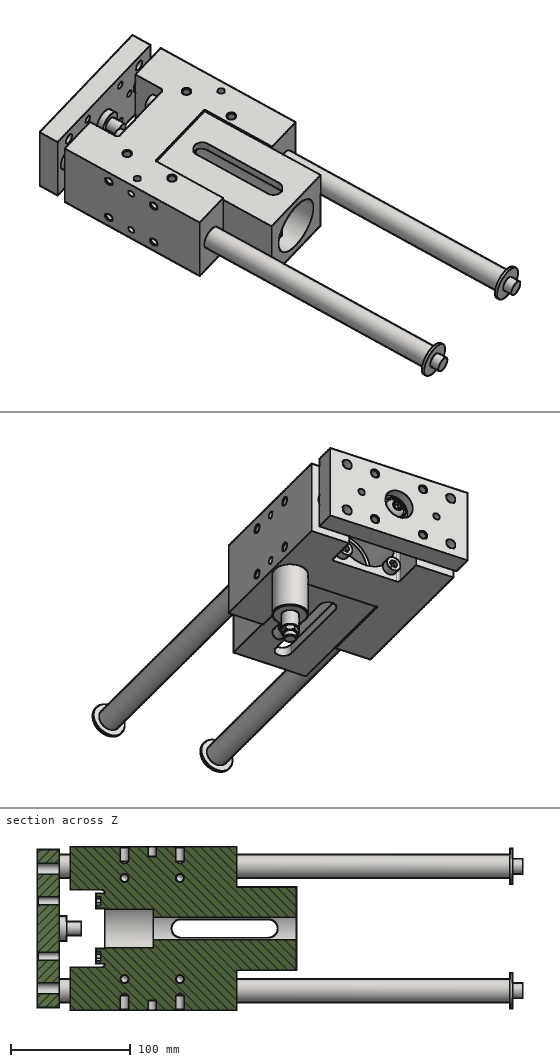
import cadquery as cq
import math

total_height = 134
unit_height = 68.5
half_height = unit_height / 2
rod_offset = 52.0
rod_diameter = 20.0
screw_offset = 23.0
tapped_diameter = 6.5
tapped_chamfer = 1.0
tapped_depth = 12.0
dowel_diameter = 6.0
drill_point_angle = math.radians(118)

plate_thickness = 18.5
plate_width = 132.5
plate_hole_diameter = 9.0
plate_hole_offset = 50.0
plate_dowel_offset = 36.0

counterbore_diameter = 26.5
counterbore_depth = 9.0
stud_flange_diameter = 21.0
stud_flange_thickness = 1.5
dome_diameter = 17.5
dome_height = 5.0
dome_flat_diameter = 9.0
dome_sphere_radius = 9.5
stud_socket_width = 6.0
stud_socket_depth = 3.2
stud_collar_end = 24.8
stud_diameter = 11.8
stud_end = 37.0

slide_end = 406
stop_disc_diameter = 30.0
stop_disc_start = 395.0
stop_disc_end = 397.5
rod_end_diameter = 13.0

housing_start = 27.5
housing_length = 139.3
housing_end = housing_start + housing_length
housing_width = 137.0
notch_end = 56.5
notch_width = 64.5
notch_corner_radius = 2.5
notch_bore_diameter = 56.0

cap_screw_diameter = 13.0
cap_screw_height = 7.5
cap_socket_width = 6.0
cap_socket_depth = 4.0

block_start = 97.0
block_end = 217.0
block_width = 70.0
block_top = 32.0
block_bottom = -33.0
slot_width = 15.0
slot_start = 112.5
slot_end = 201.0
block_bore_diameter = 49.5

hole_middle = 96.2
hole_pitch = 46.3
dowel_depth = 8.0
top_tapped_offset = 42.2
top_dowel_offset = 59.5

clamp_x = 92.0
clamp_diameter = 30.0
clamp_bottom = -75.5
clamp_chamfer = 1.0
neck_diameter = 15.0
neck_bottom = -89.5
nut_width = 13.0
nut_bottom = -94.5
nut_chamfer = 1.2
port_diameter = 11.0
port_bottom = half_height - total_height
port_chamfer = 1.0

fitting_z = -82.5
fitting_neck_diameter = 8.5
fitting_start = 102.0
fitting_diameter = 11.0
fitting_end = 113.3
fitting_chamfer = 1.0


def x_rod(diameter, start, end, y=0.0, z=0.0):
    """Cylinder along +X."""
    return cq.Workplane("YZ", origin=(start, y, z)).circle(diameter / 2).extrude(end - start)


def z_rod(diameter, bottom, top):
    """Cylinder of the clamp, along +Z on the clamp axis."""
    return cq.Workplane("XY", origin=(clamp_x, rod_offset, bottom)).circle(diameter / 2).extrude(top - bottom)


def x_hexagon(width, start, end, y=0.0, z=0.0):
    """Hexagonal prism along +X, sized across its flats."""
    across_corners = width / math.cos(math.pi / 6)
    return cq.Workplane("YZ", origin=(start, y, z)).polygon(6, across_corners).extrude(end - start)


def box(start, end, width, bottom, top):
    """Box along X, centred on Y = 0."""
    block = cq.Workplane("XY").box(end - start, width, top - bottom, centered=(False, True, False))
    return block.translate((start, 0, bottom))


def both_signs(first, second):
    """The four points at plus and minus the two offsets."""
    return [(a * first, b * second) for a in (-1, 1) for b in (-1, 1)]


def tapped_hole(point, direction, depth=tapped_depth):
    """Cutter for a tapped hole with a chamfered mouth and a drill point."""
    mouth_centre = cq.Vector(*point)
    inward = cq.Vector(*direction)
    radius = tapped_diameter / 2
    tip_length = radius / math.tan(drill_point_angle / 2)
    hole = cq.Solid.makeCylinder(radius, depth, mouth_centre, inward)
    mouth = cq.Solid.makeCone(radius + tapped_chamfer, radius, tapped_chamfer, mouth_centre, inward)
    drill_point = cq.Solid.makeCone(radius, 0, tip_length, mouth_centre + inward * depth, inward)
    return cq.Workplane(hole).union(cq.Workplane(mouth)).union(cq.Workplane(drill_point))


def dowel_hole(point, direction):
    """Cutter for a blind dowel hole with a flat bottom."""
    hole = cq.Solid.makeCylinder(dowel_diameter / 2, dowel_depth, cq.Vector(*point), cq.Vector(*direction))
    return cq.Workplane(hole)


def add_stud(slide):
    """Flanged, domed stud with a hexagon socket, through the middle of the plate."""
    dome_base = counterbore_depth - stud_flange_thickness
    dome_front = dome_base - dome_height
    dome = (
        cq.Workplane("XY")
        .moveTo(dome_base, 0)
        .lineTo(dome_base, dome_diameter / 2)
        .radiusArc((dome_front, dome_flat_diameter / 2), -dome_sphere_radius)
        .lineTo(dome_front, 0)
        .close()
        .revolve(360, (0, 0, 0), (1, 0, 0))
    )
    slide = slide.union(x_rod(stud_flange_diameter, dome_base, counterbore_depth)).union(dome)
    slide = slide.cut(x_hexagon(stud_socket_width, dome_front, dome_front + stud_socket_depth))
    slide = slide.union(x_rod(stud_flange_diameter, plate_thickness, stud_collar_end))
    return slide.union(x_rod(stud_diameter, stud_collar_end, stud_end))


def make_slide():
    """End plate with the two guide rods and the centre stud."""
    slide = box(0, plate_thickness, plate_width, -half_height, half_height)
    slide = slide.cut(x_rod(counterbore_diameter, 0, counterbore_depth))
    for y, z in both_signs(plate_hole_offset, screw_offset):
        slide = slide.cut(x_rod(plate_hole_diameter, 0, plate_thickness, y, z))
    for y, z in both_signs(screw_offset, screw_offset):
        slide = slide.cut(tapped_hole((0, y, z), (1, 0, 0), plate_thickness))
    for y in (-plate_dowel_offset, plate_dowel_offset):
        slide = slide.cut(x_rod(dowel_diameter, 0, plate_thickness, y))
    slide = add_stud(slide)
    for y in (-rod_offset, rod_offset):
        slide = slide.union(x_rod(rod_diameter, plate_thickness, stop_disc_start, y))
        slide = slide.union(x_rod(stop_disc_diameter, stop_disc_start, stop_disc_end, y))
        slide = slide.union(x_rod(rod_end_diameter, stop_disc_end, slide_end, y))
    return slide


def make_fitting():
    """Side fitting on the clamp neck, pointing along +X."""
    neck = x_rod(fitting_neck_diameter, clamp_x, fitting_start, rod_offset, fitting_z)
    head = x_rod(fitting_diameter, fitting_start, fitting_end, rod_offset, fitting_z)
    return neck.union(head.faces("<X or >X").chamfer(fitting_chamfer))


def make_nut():
    """Hexagon nut with both ends turned down at the corners."""
    across_corners = nut_width / math.cos(math.pi / 6)
    hexagon = (
        cq.Workplane("XY", origin=(clamp_x, rod_offset, nut_bottom))
        .polygon(6, across_corners)
        .extrude(neck_bottom - nut_bottom)
    )
    turned = z_rod(across_corners, nut_bottom, neck_bottom).faces("<Z or >Z").chamfer(nut_chamfer)
    return hexagon.intersect(turned)


def make_clamp():
    """Clamping cylinder that hangs below the housing under the +Y rod."""
    body = z_rod(clamp_diameter, clamp_bottom, -half_height).faces("<Z").chamfer(clamp_chamfer)
    neck = z_rod(neck_diameter, neck_bottom, clamp_bottom)
    port = z_rod(port_diameter, port_bottom, nut_bottom).faces("<Z").chamfer(port_chamfer)
    return body.union(neck).union(make_nut()).union(port).union(make_fitting())


def make_block():
    """Slotted cylinder block that fills the rear notch and sticks out of it."""
    block = box(block_start, block_end, block_width, block_bottom, block_top)
    slot = (
        cq.Workplane("XY", origin=((slot_start + slot_end) / 2, 0, block_bottom))
        .slot2D(slot_end - slot_start, slot_width)
        .extrude(block_top - block_bottom)
    )
    return block.cut(slot).cut(x_rod(block_bore_diameter, block_start, block_end))


def add_cap_screws(housing):
    """Four cap screw heads on the back wall of the front notch."""
    head_front = notch_end - cap_screw_height
    for y, z in both_signs(screw_offset, screw_offset):
        housing = housing.union(x_rod(cap_screw_diameter, head_front, notch_end, y, z))
        housing = housing.cut(x_hexagon(cap_socket_width, head_front, head_front + cap_socket_depth, y, z))
    return housing


def cut_mounting_holes(housing):
    """Tapped and dowel holes in both sides and the top."""
    half_pitch = hole_pitch / 2
    for side in (-1, 1):
        face_y = side * housing_width / 2
        inward = (0, -side, 0)
        for dx, z in both_signs(half_pitch, screw_offset):
            housing = housing.cut(tapped_hole((hole_middle + dx, face_y, z), inward))
        for z in (-screw_offset, screw_offset):
            housing = housing.cut(dowel_hole((hole_middle, face_y, z), inward))
    down = (0, 0, -1)
    for dx, y in both_signs(half_pitch, top_tapped_offset):
        housing = housing.cut(tapped_hole((hole_middle + dx, y, half_height), down))
    for y in (-top_dowel_offset, top_dowel_offset):
        housing = housing.cut(dowel_hole((hole_middle, y, half_height), down))
    return housing


def make_housing():
    """Notched housing with its cylinder block, screws, holes, rod bores and clamp."""
    housing = box(housing_start, housing_end, housing_width, -half_height, half_height)
    front_notch = box(housing_start, notch_end, notch_width, -half_height, half_height)
    housing = housing.cut(front_notch.edges("|Z and >X").fillet(notch_corner_radius))
    housing = housing.cut(x_rod(notch_bore_diameter, notch_end, block_start))
    housing = housing.cut(box(block_start, housing_end, block_width, -half_height, half_height))
    housing = housing.union(make_block())
    housing = add_cap_screws(housing)
    housing = cut_mounting_holes(housing)
    for y in (-rod_offset, rod_offset):
        housing = housing.cut(x_rod(rod_diameter, housing_start, housing_end, y))
    return housing.union(make_clamp())


slide = make_slide()
housing = make_housing()
result = cq.Compound.makeCompound([*slide.solids().vals(), *housing.solids().vals()])